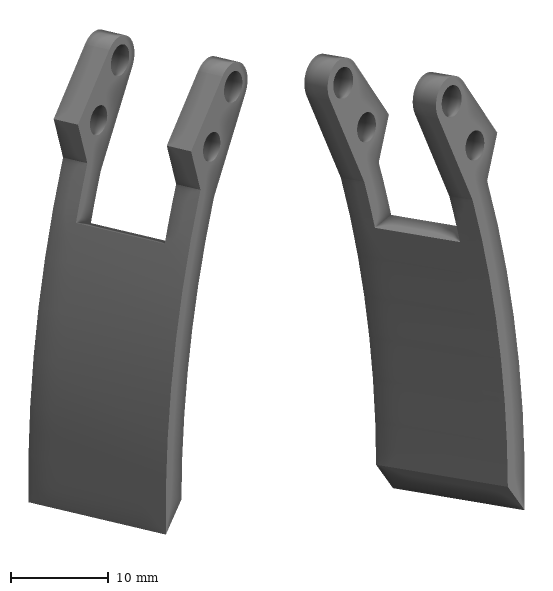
import cadquery as cq
import math

width = 17.0
depth = 14.95
height = 47.7

outer_radius = 90.6
blade_thickness = 2.85
inner_radius = outer_radius - blade_thickness
arc_center_y = outer_radius
arc_center_z = 2.4
tip_height = 2.95
neck_z = 35.65
inner_arc_top_z = 34.1

arm_width = 3.0
slot_floor_z = 29.8
eye_radius = 2.6
eye_center = (depth - eye_radius, height - eye_radius)
eye_hole_diameter = 3.35
arm_corner = (4.63, 40.4)
lower_hole_center = (8.4, 39.73)
lower_hole_diameter = 3.15


def arc_point(radius, z):
    """Point on the front side of a blade arc at height z."""
    return (arc_center_y - math.sqrt(radius**2 - (z - arc_center_z) ** 2), z)


def eye_tangent_point(point, side):
    """Where a line from point touches the eye; side is +1 or -1."""
    dy = point[0] - eye_center[0]
    dz = point[1] - eye_center[1]
    angle = math.atan2(dz, dy) + side * math.acos(eye_radius / math.hypot(dy, dz))
    return (
        eye_center[0] + eye_radius * math.cos(angle),
        eye_center[1] + eye_radius * math.sin(angle),
    )


def side_profile():
    """Solid with the complete side outline, extruded across the width."""
    inner_top = arc_point(inner_radius, inner_arc_top_z)
    front_tangent = eye_tangent_point(arm_corner, -1)
    rear_tangent = eye_tangent_point(inner_top, 1)
    eye_top = (eye_center[0], height)
    return (
        cq.Workplane("YZ", origin=(-width / 2, 0, 0))
        .moveTo(*arc_point(outer_radius, 0))
        .threePointArc(arc_point(outer_radius, neck_z / 2), arc_point(outer_radius, neck_z))
        .lineTo(*arm_corner)
        .lineTo(*front_tangent)
        .threePointArc(eye_top, rear_tangent)
        .lineTo(*inner_top)
        .threePointArc(
            arc_point(inner_radius, (inner_arc_top_z + tip_height) / 2),
            arc_point(inner_radius, tip_height),
        )
        .close()
        .extrude(width)
    )


def fork_slot():
    """Block between the two arms; its floor is square to the curved blade."""
    floor_front = arc_point(outer_radius, slot_floor_z)
    tilt = math.degrees(math.asin((slot_floor_z - arc_center_z) / outer_radius))
    block = cq.Workplane("XY").box(
        width - 2 * arm_width, 2 * depth, height, centered=(True, True, False)
    )
    return block.rotate((0, 0, 0), (1, 0, 0), -tilt).translate((0, *floor_front))


def cross_hole(center, diameter):
    """Pin hole running through both arms along X."""
    return (
        cq.Workplane("YZ", origin=(-width / 2, 0, 0))
        .center(*center)
        .circle(diameter / 2)
        .extrude(width)
    )


result = (
    side_profile()
    .cut(fork_slot())
    .cut(cross_hole(eye_center, eye_hole_diameter))
    .cut(cross_hole(lower_hole_center, lower_hole_diameter))
)